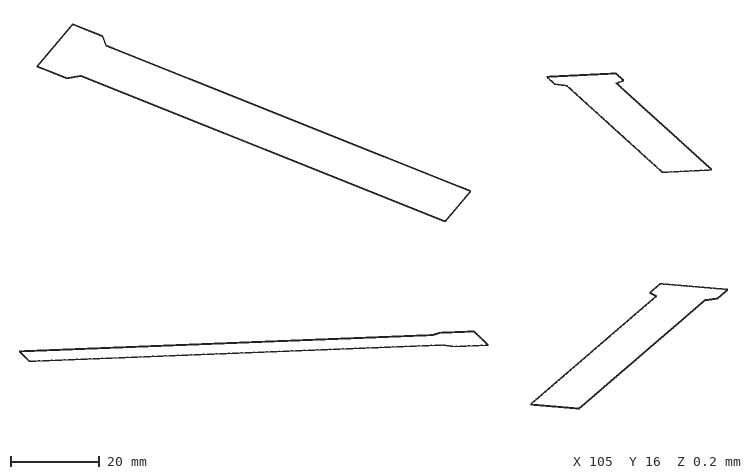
import cadquery as cq

length = 105.0
head_width = 16.0
thickness = 0.2

head_length = 7.8
strip_width = 11.4
taper_length = (head_width - strip_width) / 2

tip_radius = 0.2


def half_outline():
    """Points of the +Y edge, from the head end to the free end."""
    head_end = -length / 2
    taper_start = head_end + head_length
    return [
        (head_end, head_width / 2),
        (taper_start, head_width / 2),
        (taper_start + taper_length, strip_width / 2),
        (length / 2, strip_width / 2),
    ]


upper_edge = half_outline()
lower_edge = [(x, -y) for x, y in reversed(upper_edge)]

blank = cq.Workplane("XY").polyline(upper_edge + lower_edge).close().extrude(thickness)
result = blank.faces(">X").edges("|Z").fillet(tip_radius)